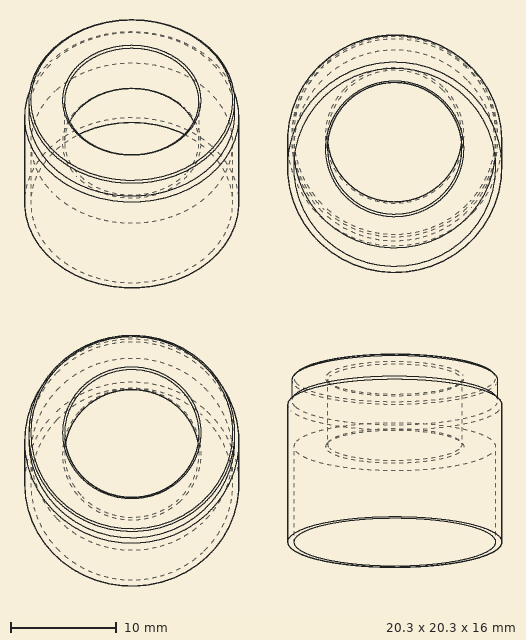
import cadquery as cq

body_diameter = 20.3
height = 16.0
collar_diameter = 19.5
collar_height = 2.2
shoulder_chamfer = (body_diameter - collar_diameter) / 2
rim_chamfer = 0.2

bore_diameter = 12.7
bore_chamfer = 0.2
bore_depth = 6.7
cavity_diameter = 19.1

body_radius = body_diameter / 2
collar_radius = collar_diameter / 2
bore_radius = bore_diameter / 2
cavity_radius = cavity_diameter / 2
collar_base = height - collar_height
cavity_top = height - bore_depth


def sleeve():
    """Revolve the half section, given as (radius, z), about the Z axis."""
    section = [
        (cavity_radius, 0),
        (body_radius, 0),
        (body_radius, collar_base - shoulder_chamfer),
        (collar_radius, collar_base),
        (collar_radius, height - rim_chamfer),
        (collar_radius - rim_chamfer, height),
        (bore_radius + bore_chamfer, height),
        (bore_radius, height - bore_chamfer),
        (bore_radius, cavity_top + bore_chamfer),
        (bore_radius + bore_chamfer, cavity_top),
        (cavity_radius, cavity_top),
    ]
    profile = cq.Workplane("XZ").polyline(section).close()
    return profile.revolve(360, (0, 0, 0), (0, 1, 0))


result = sleeve()